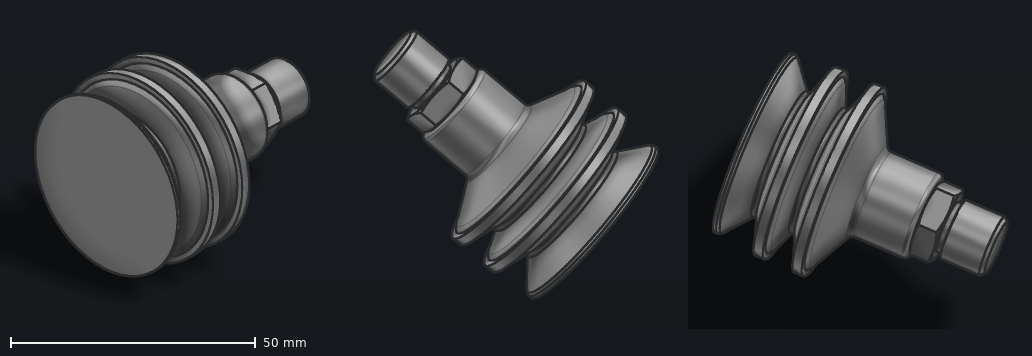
import cadquery as cq
import math

total_length = 54.55

fold_radius = 42.0 / 2
fold_width = 2.15
fold_starts = (9.55, 18.3)
shoulder_radius = 19.65
flank_radius = 18.5
shoulder_width = 0.8
shoulder_bulge = 0.1
waist_radius = 13.9
waist_edge_radius = 14.1
waist_width = 1.2
waist_starts = (5.9, 14.4)

lip_radius = 40.0 / 2
lip_straight = 0.7
lip_height = 1.35
lip_edge_radius = 19.6

sleeve_radius = 19.0 / 2
sleeve_top = 38.6
sleeve_rounding = 1.0
root_start = 25.65
root_end = 27.0
root_radius = 10.1
root_mid_radius = 9.65
root_mid = 26.25

hex_across_flats = 15.0
hex_top = 43.6
hex_chamfer_height = 0.5
undercut_radius = 11.15 / 2
thread_radius = 13.15 / 2
thread_start = 45.0
thread_chamfer = 0.9


def cylinder(radius, start, end):
    """Cylinder along Y between two positions."""
    return cq.Workplane("XZ", origin=(0, start, 0)).circle(radius).extrude(start - end)


def waist(profile, start):
    """Rounded groove bottom between two flanks."""
    middle = (waist_radius, start + waist_width / 2)
    end = (waist_edge_radius, start + waist_width)
    return profile.lineTo(waist_edge_radius, start).threePointArc(middle, end)


def shoulder_middle(start, end):
    """Point on a slightly convex arc between a flank and a fold rim."""
    return ((start[0] + end[0]) / 2 + shoulder_bulge, (start[1] + end[1]) / 2)


def fold(profile, start):
    """Fold with a cylindrical rim and a rounded shoulder on both sides."""
    end = start + fold_width
    lower_flank = (flank_radius, start - shoulder_width)
    lower_rim = (shoulder_radius, start)
    upper_rim = (shoulder_radius, end)
    upper_flank = (flank_radius, end + shoulder_width)
    profile = profile.lineTo(*lower_flank)
    profile = profile.threePointArc(shoulder_middle(lower_flank, lower_rim), lower_rim)
    profile = profile.lineTo(fold_radius, start).lineTo(fold_radius, end).lineTo(*upper_rim)
    return profile.threePointArc(shoulder_middle(upper_rim, upper_flank), upper_flank)


def make_cup():
    """Lip, bellows and sleeve as one revolved profile."""
    profile = cq.Workplane("XY").lineTo(lip_radius, 0).lineTo(lip_radius, lip_straight)
    profile = profile.lineTo(lip_edge_radius, lip_height)
    for waist_start, fold_start in zip(waist_starts, fold_starts):
        profile = waist(profile, waist_start)
        profile = fold(profile, fold_start)
    profile = profile.lineTo(root_radius, root_start)
    profile = profile.threePointArc((root_mid_radius, root_mid), (sleeve_radius, root_end))
    profile = profile.lineTo(sleeve_radius, sleeve_top).lineTo(0, sleeve_top).close()
    cup = profile.revolve(360, (0, 0, 0), (0, 1, 0))
    return cup.faces(">Y").edges().fillet(sleeve_rounding)


def make_hexagon():
    """Hexagon with corners on X, its ends turned down to the flats."""
    corner_radius = hex_across_flats / math.sqrt(3)
    chamfer_width = corner_radius - hex_across_flats / 2
    prism = (
        cq.Workplane("XZ", origin=(0, sleeve_top, 0))
        .polygon(6, 2 * corner_radius)
        .extrude(sleeve_top - hex_top)
    )
    envelope = cylinder(corner_radius, sleeve_top, hex_top)
    envelope = envelope.faces("<Y").chamfer(hex_chamfer_height, chamfer_width)
    envelope = envelope.faces(">Y").chamfer(hex_chamfer_height, chamfer_width)
    return prism.intersect(envelope)


def make_thread():
    """Undercut and plain threaded stud with a chamfered tip."""
    stud = cylinder(thread_radius, thread_start, total_length)
    stud = stud.faces(">Y").chamfer(thread_chamfer)
    return cylinder(undercut_radius, hex_top, thread_start).union(stud)


result = make_cup().union(make_hexagon()).union(make_thread())